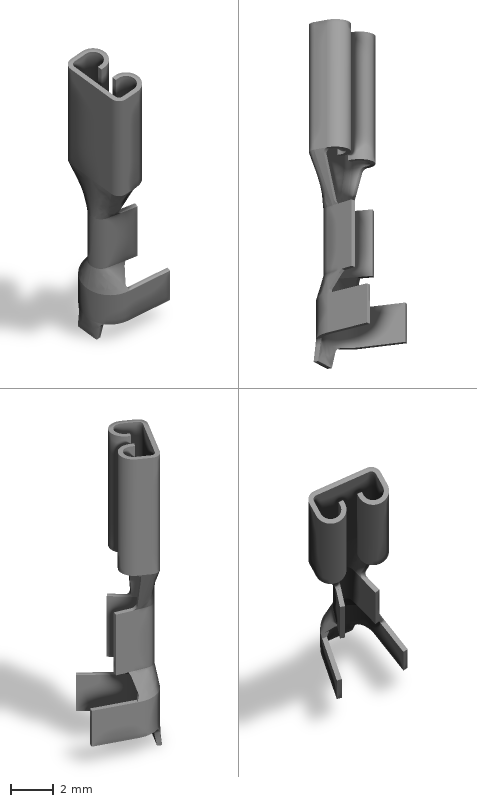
import cadquery as cq
import math

thickness = 0.25
total_height = 16.37
box_bottom = 10.05
wire_crimp_top = 7.56
wire_crimp_bottom = 4.27
grip_top = 2.96
grip_bottom = 1.01

box_half_width = 1.875
box_corner_radius = 0.49
curl_radius = 0.75
curl_center_y = 1.21
curl_end_y = 1.03

wire_crimp = {"floor": 0, "radius": 0.64, "lean": 15}
wire_tip_y = 2.11

grip = {"floor": -0.26, "radius": 1.5, "lean": 9}
grip_tip_y = 3.42

funnel_blank_y = 1.21
funnel_split_y = 0.82
funnel_edge_y = 0.98
funnel_edge_radius = 0.25

neck_blank_y = 1.55
neck_top_y = 1.4
neck_shoulder_y = 1.3
neck_shoulder_drop = 0.2
neck_low_y = 1.0
neck_low_z = 3.24
neck_bottom_y = 1.1

tail_blank_half_width = 1.01
tail_root_half_width = 0.9
tail_neck_half_width = 0.69
tail_end_half_width = 0.64
tail_neck_drop = 0.3

cut_reach = 4.91


def line(start, end):
    return cq.Edge.makeLine(cq.Vector(*start), cq.Vector(*end))


def arc(start, middle, end):
    return cq.Edge.makeThreePointArc(cq.Vector(*start), cq.Vector(*middle), cq.Vector(*end))


def mirrored(half):
    """Join a +X half with its mirror image."""
    return half.union(half.mirror("YZ"))


def extruded(wire, height):
    return cq.Workplane(cq.Solid.extrudeLinear(wire, [], cq.Vector(0, 0, height)))


def lofted(lower, upper):
    return cq.Workplane(cq.Solid.makeLoft([lower, upper], True))


def u_half_section(shape, tip_y, z, split_y=None):
    """Half of an open U: a round bottom followed by an outward-leaning wing."""
    radius = shape["radius"]
    lean = math.radians(shape["lean"])
    center_y = shape["floor"] + radius
    sweep = math.pi / 2 - lean

    def on_arc(r, angle):
        return (r * math.sin(angle), center_y - r * math.cos(angle), z)

    def on_wing(y, depth):
        """Point on the wing at outer-face height y, moved inward by depth."""
        x, start_y, _ = on_arc(radius, sweep)
        outer_x = x + (y - start_y) * math.tan(lean)
        return (outer_x - depth * math.cos(lean), y + depth * math.sin(lean), z)

    def arc_edge(r, first, last):
        return arc(on_arc(r, first), on_arc(r, (first + last) / 2), on_arc(r, last))

    inner_radius = radius - thickness
    outer_tip_y = tip_y - thickness * math.sin(lean)
    heights = [outer_tip_y] if split_y is None else [split_y, outer_tip_y]
    outer = [on_arc(radius, sweep)] + [on_wing(y, 0) for y in heights]
    inner = [on_arc(inner_radius, sweep)] + [on_wing(y, thickness) for y in heights]
    inner.reverse()
    edges = [arc_edge(radius, 0, sweep)]
    edges += [line(a, b) for a, b in zip(outer, outer[1:])]
    edges.append(line(outer[-1], inner[0]))
    edges += [line(a, b) for a, b in zip(inner, inner[1:])]
    edges.append(arc_edge(inner_radius, sweep, 0))
    edges.append(line(on_arc(inner_radius, 0), on_arc(radius, 0)))
    return cq.Wire.assembleEdges(edges)


def box_half_section(z, curled):
    """Half of the box section, either curled over or ending at the straight wall."""
    wall_x = box_half_width
    inner_x = wall_x - thickness
    flat_x = wall_x - box_corner_radius
    corner_y = box_corner_radius
    wall_y = curl_center_y if curled else funnel_blank_y

    def corner_mid(r):
        offset = r * math.sqrt(0.5)
        return (flat_x + offset, corner_y - offset, z)

    outer = [
        line((0, 0, z), (flat_x, 0, z)),
        arc((flat_x, 0, z), corner_mid(box_corner_radius), (wall_x, corner_y, z)),
        line((wall_x, corner_y, z), (wall_x, wall_y, z)),
    ]
    inner = [
        line((inner_x, wall_y, z), (inner_x, corner_y, z)),
        arc((inner_x, corner_y, z), corner_mid(box_corner_radius - thickness), (flat_x, thickness, z)),
        line((flat_x, thickness, z), (0, thickness, z)),
        line((0, thickness, z), (0, 0, z)),
    ]
    if not curled:
        return cq.Wire.assembleEdges(outer + [line((wall_x, wall_y, z), (inner_x, wall_y, z))] + inner)

    curl_x = wall_x - curl_radius
    lip_x = curl_x - curl_radius
    lip_inner_x = lip_x + thickness
    curl = [
        arc((wall_x, wall_y, z), (curl_x, wall_y + curl_radius, z), (lip_x, wall_y, z)),
        line((lip_x, wall_y, z), (lip_x, curl_end_y, z)),
        line((lip_x, curl_end_y, z), (lip_inner_x, curl_end_y, z)),
        line((lip_inner_x, curl_end_y, z), (lip_inner_x, wall_y, z)),
        arc((lip_inner_x, wall_y, z), (curl_x, wall_y + curl_radius - thickness, z), (inner_x, wall_y, z)),
    ]
    return cq.Wire.assembleEdges(outer + curl + inner)


def make_funnel():
    lower = u_half_section(wire_crimp, funnel_blank_y, wire_crimp_top, funnel_split_y)
    blank = mirrored(lofted(lower, box_half_section(box_bottom, False)))
    r = funnel_edge_radius
    low_y = funnel_edge_y
    high_y = low_y + r
    trim = (
        cq.Workplane("YZ")
        .moveTo(high_y, wire_crimp_top)
        .radiusArc((low_y, wire_crimp_top + r), r)
        .lineTo(low_y, box_bottom - r)
        .radiusArc((high_y, box_bottom), r)
        .lineTo(cut_reach, box_bottom)
        .lineTo(cut_reach, wire_crimp_top)
        .close()
        .extrude(cut_reach, both=True)
    )
    return blank.cut(trim)


def make_neck():
    lower = u_half_section(grip, neck_blank_y, grip_top)
    upper = u_half_section(wire_crimp, neck_blank_y, wire_crimp_bottom)
    blank = mirrored(lofted(lower, upper))
    trim = (
        cq.Workplane("YZ")
        .polyline([
            (neck_bottom_y, grip_top),
            (neck_low_y, neck_low_z),
            (neck_shoulder_y, wire_crimp_bottom - neck_shoulder_drop),
            (neck_top_y, wire_crimp_bottom),
            (cut_reach, wire_crimp_bottom),
            (cut_reach, grip_top),
        ])
        .close()
        .extrude(cut_reach, both=True)
    )
    return blank.cut(trim)


def make_tail():
    """Tail that flattens from the round grip floor to a straight end."""
    floor = grip["floor"]
    half = tail_blank_half_width

    def strip(z, radius):
        """Strip section, round with the given outer radius or flat if None."""
        def rise(x, r):
            return 0 if r is None else r - math.sqrt(r * r - x * x)

        def edge(base, r, direction):
            start = (-half * direction, base + rise(half, r), z)
            end = (half * direction, base + rise(half, r), z)
            return line(start, end) if r is None else arc(start, (0, base, z), end)

        inner_y = floor + thickness
        inner_radius = None if radius is None else radius - thickness
        outer_side_y = floor + rise(half, radius)
        inner_side_y = inner_y + rise(half, inner_radius)
        return cq.Wire.assembleEdges([
            edge(floor, radius, 1),
            line((half, outer_side_y, z), (half, inner_side_y, z)),
            edge(inner_y, inner_radius, -1),
            line((-half, inner_side_y, z), (-half, outer_side_y, z)),
        ])

    blank = lofted(strip(0, None), strip(grip_bottom, grip["radius"]))
    neck_z = grip_bottom - tail_neck_drop
    outline = (
        cq.Workplane("XZ")
        .moveTo(-tail_end_half_width, 0)
        .lineTo(tail_end_half_width, 0)
        .lineTo(tail_neck_half_width, neck_z)
        .radiusArc((tail_root_half_width, grip_bottom), tail_neck_drop)
        .lineTo(-tail_root_half_width, grip_bottom)
        .radiusArc((-tail_neck_half_width, neck_z), tail_neck_drop)
        .close()
        .extrude(cut_reach, both=True)
    )
    return blank.intersect(outline)


box = mirrored(extruded(box_half_section(box_bottom, True), total_height - box_bottom))
wire_barrel = mirrored(
    extruded(u_half_section(wire_crimp, wire_tip_y, wire_crimp_bottom), wire_crimp_top - wire_crimp_bottom)
)
grip_barrel = mirrored(extruded(u_half_section(grip, grip_tip_y, grip_bottom), grip_top - grip_bottom))

result = box.union(make_funnel()).union(wire_barrel).union(make_neck()).union(grip_barrel).union(make_tail())